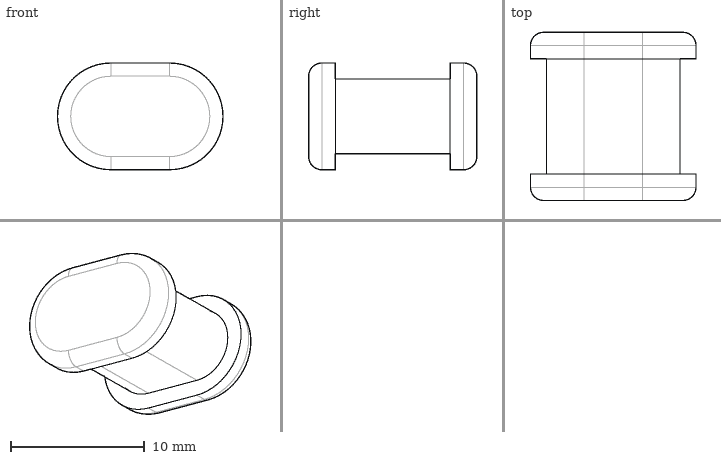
import cadquery as cq

total_length = 12.6
flange_height = 8.0
flange_thickness = 2.0
core_height = 5.6
flat_width = 4.4
edge_radius = 1.0


def rounded_bar(height, length):
    """Bar with a stadium cross-section, centred on the origin along Y."""
    return (
        cq.Workplane("XZ")
        .slot2D(flat_width + height, height)
        .extrude(length / 2, both=True)
    )


def flange(side):
    """End flange with a rounded outer rim; side is -1 or 1 along Y."""
    outer_face = "<Y" if side < 0 else ">Y"
    centre_y = side * (total_length - flange_thickness) / 2
    return (
        rounded_bar(flange_height, flange_thickness)
        .faces(outer_face)
        .edges()
        .fillet(edge_radius)
        .translate((0, centre_y, 0))
    )


result = rounded_bar(core_height, total_length - flange_thickness)
for side in (-1, 1):
    result = result.union(flange(side))